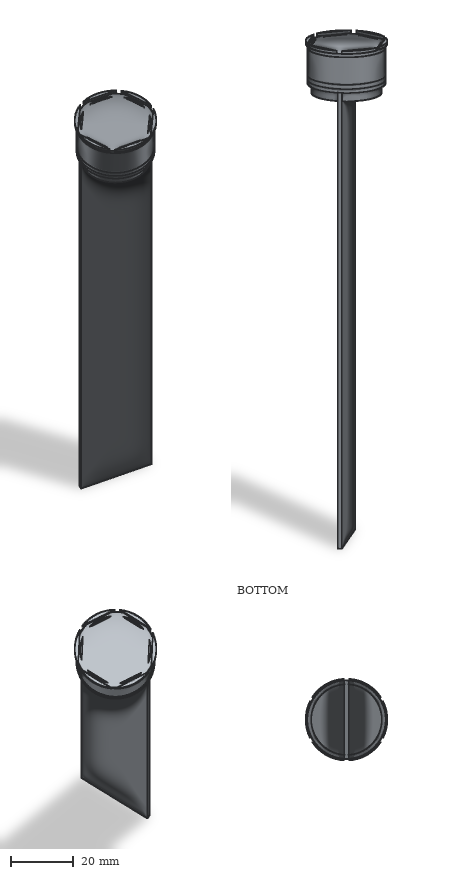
import cadquery as cq
import math

TOTAL_HEIGHT = 164.0

BODY_DIAMETER = 25.0
BODY_BOTTOM = 14.0

RIM_OVERHANG = 0.54
RIM_DIAMETER = BODY_DIAMETER + 2 * RIM_OVERHANG
RIM_HEIGHT = 1.0
FLOOR_ACROSS_FLATS = 23.3
HEX_SIDES = 6

POCKET_ACROSS_FLATS = 21.2
POCKET_CIRCLE_DIAMETER = 22.5
POCKET_DEPTH = 0.7

COLLAR_BOTTOM = 2.1
RIDGE_HEIGHT = 0.1
BEAD_TOPS = (10.7, 12.1)
BEAD_WIDTH = 1.0

PLUG_DIAMETER = 22.5
PLUG_TOP = 10.7
PLUG_BOTTOM = 17.0

BLADE_THICKNESS = 1.3
BLADE_WIDTH = BODY_DIAMETER


def disc(diameter, top, bottom):
    """Upright cylinder between two depths below the top."""
    return (
        cq.Workplane("XY", origin=(0, 0, TOTAL_HEIGHT - bottom))
        .circle(diameter / 2)
        .extrude(bottom - top)
    )


def hexagon(across_flats, top, bottom):
    """Hexagonal prism with two of its flats facing +X and -X."""
    corner_radius = across_flats / 2 / math.cos(math.pi / HEX_SIDES)
    corners = []
    for i in range(HEX_SIDES):
        angle = math.pi * (2 * i + 1) / HEX_SIDES
        corners.append((corner_radius * math.cos(angle), corner_radius * math.sin(angle)))
    return (
        cq.Workplane("XY", origin=(0, 0, TOTAL_HEIGHT - bottom))
        .polyline(corners)
        .close()
        .extrude(bottom - top)
    )


def rim():
    """Disc with a hexagon cut out, leaving six separate segments."""
    return disc(RIM_DIAMETER, 0, RIM_HEIGHT).cut(hexagon(FLOOR_ACROSS_FLATS, 0, RIM_HEIGHT))


def floor_pockets():
    """The parts of a circle that lie outside a smaller hexagon."""
    bottom = RIM_HEIGHT + POCKET_DEPTH
    circle = disc(POCKET_CIRCLE_DIAMETER, RIM_HEIGHT, bottom)
    return circle.cut(hexagon(POCKET_ACROSS_FLATS, RIM_HEIGHT, bottom))


def body():
    """Turned body with the collar, the V-shaped beads and a flat shoulder."""
    wall_radius = BODY_DIAMETER / 2
    ridge_radius = wall_radius + RIDGE_HEIGHT
    profile = (
        cq.Workplane("XZ")
        .moveTo(0, TOTAL_HEIGHT - RIM_HEIGHT)
        .lineTo(ridge_radius, TOTAL_HEIGHT - RIM_HEIGHT)
        .lineTo(ridge_radius, TOTAL_HEIGHT - COLLAR_BOTTOM)
        .lineTo(wall_radius, TOTAL_HEIGHT - COLLAR_BOTTOM - RIDGE_HEIGHT)
    )
    for bead_top in BEAD_TOPS:
        profile = (
            profile.lineTo(wall_radius, TOTAL_HEIGHT - bead_top)
            .lineTo(ridge_radius, TOTAL_HEIGHT - bead_top - BEAD_WIDTH / 2)
            .lineTo(wall_radius, TOTAL_HEIGHT - bead_top - BEAD_WIDTH)
        )
    return (
        profile.lineTo(wall_radius, TOTAL_HEIGHT - BODY_BOTTOM)
        .lineTo(0, TOTAL_HEIGHT - BODY_BOTTOM)
        .close()
        .revolve(360, (0, 0, 0), (0, 1, 0))
    )


def make_housing():
    plug_bore = disc(PLUG_DIAMETER, PLUG_TOP, BODY_BOTTOM)
    return body().union(rim()).cut(floor_pockets()).cut(plug_bore)


def make_blade():
    return (
        cq.Workplane("XY")
        .rect(BLADE_THICKNESS, BLADE_WIDTH)
        .extrude(TOTAL_HEIGHT - BODY_BOTTOM)
    )


def make_plug(blade):
    return disc(PLUG_DIAMETER, PLUG_TOP, PLUG_BOTTOM).cut(blade)


housing = make_housing()
blade = make_blade()
plug = make_plug(blade)

result = cq.Compound.makeCompound([housing.val(), plug.val(), blade.val()])